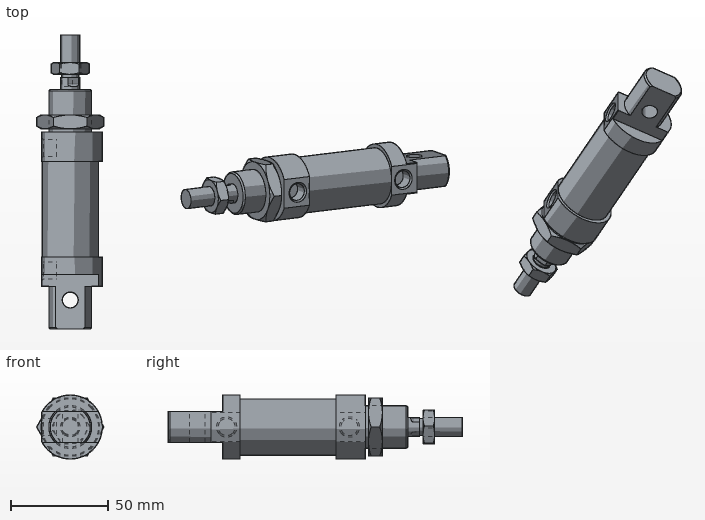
import cadquery as cq
import math

LENGTH = 151.0

TAIL_END = 21.9
REAR_SHOULDER = 28.0
REAR_CAP_END = 37.0
FRONT_CAP_START = 86.0
FRONT_CAP_END = 101.2
NECK_END = 123.0

CAP_DIAMETER = 32.9
TUBE_DIAMETER = 29.0
NECK_DIAMETER = 22.0
NECK_TIP_DIAMETER = 20.5
NECK_CHAMFER_LENGTH = 0.9
TAIL_THICKNESS = 16.0
PORT_FACE_X = -14.6

PIVOT_Y = 15.0
PIVOT_DIAMETER = 8.0
PORT_POSITIONS = (30.0, 93.0)
PORT_DIAMETER = 8.8
PORT_MOUTH_DIAMETER = 10.4
PORT_DEPTH = 7.5

ROD_DIAMETER = 10.0
UNDERCUT_DIAMETER = 8.8
UNDERCUT_START = 129.1
WRENCH_ACROSS_FLATS = 8.0
WRENCH_FLAT_LENGTH = 3.3
WRENCH_RUNOUT_RADIUS = 1.4
WRENCH_ANGLE = 68.0

NECK_NUT_START = 102.8
NECK_NUT_THICKNESS = 7.1
NECK_NUT_ACROSS_CORNERS = 34.6
ROD_NUT_START = 130.8
ROD_NUT_THICKNESS = 6.0
ROD_NUT_ACROSS_CORNERS = 19.6
ROD_NUT_TURN = 3.5
NUT_CHAMFER_ANGLE = 30.0
HEXAGON_HALF_ANGLE = 30.0


def section_at(y):
    """Workplane facing +Y at the given station; its local axes are -X and Z."""
    return cq.Workplane("XZ", origin=(0, y, 0)).transformed(rotate=(0, 180, 0))


def cylinder(diameter, start, end):
    return section_at(start).circle(diameter / 2).extrude(end - start)


def revolve_profile(points):
    """Revolve a closed (radius, y) outline about the Y axis."""
    return cq.Workplane("XY").polyline(points).close().revolve(360, (0, 0), (0, 1))


def make_blank():
    """Turned shape of the housing: tail, rear cap, tube, front cap and neck."""
    neck = NECK_DIAMETER / 2
    tip = NECK_TIP_DIAMETER / 2
    cap = CAP_DIAMETER / 2
    tube = TUBE_DIAMETER / 2
    return revolve_profile([
        (0, 0),
        (tip, 0),
        (neck, NECK_CHAMFER_LENGTH),
        (neck, TAIL_END),
        (cap, TAIL_END),
        (cap, REAR_CAP_END),
        (tube, REAR_CAP_END),
        (tube, FRONT_CAP_START),
        (cap, FRONT_CAP_START),
        (cap, FRONT_CAP_END),
        (neck, FRONT_CAP_END),
        (neck, NECK_END - NECK_CHAMFER_LENGTH),
        (tip, NECK_END),
        (0, NECK_END),
    ])


def make_tail_cut(side):
    """Stock removed above (side = 1) or below (side = -1) the flat tail."""
    center_z = side * (TAIL_THICKNESS + CAP_DIAMETER) / 2
    return cq.Workplane("XY").box(
        2 * CAP_DIAMETER, REAR_SHOULDER, CAP_DIAMETER, centered=(True, False, True)
    ).translate((0, 0, center_z))


def make_port_face_cut():
    """Stock removed from the -X side so both caps have a flat around the port."""
    return cq.Workplane("XY").box(
        CAP_DIAMETER, LENGTH, CAP_DIAMETER, centered=(True, False, True)
    ).translate((PORT_FACE_X - CAP_DIAMETER / 2, 0, 0))


def make_port(y):
    """Blind port bored toward +X, with a 45 degree countersunk mouth."""
    bore = PORT_DIAMETER / 2
    mouth = PORT_MOUTH_DIAMETER / 2
    countersink = mouth - bore
    outline = [
        (PORT_FACE_X, 0),
        (PORT_FACE_X, mouth),
        (PORT_FACE_X + countersink, bore),
        (PORT_FACE_X + PORT_DEPTH, bore),
        (PORT_FACE_X + PORT_DEPTH, 0),
    ]
    port = cq.Workplane("XY").polyline(outline).close().revolve(360, (0, 0), (1, 0))
    return port.translate((0, y, 0))


def make_housing():
    housing = make_blank().cut(make_port_face_cut())
    for side in (1, -1):
        housing = housing.cut(make_tail_cut(side))
    pivot = cq.Workplane("XY").center(0, PIVOT_Y).circle(PIVOT_DIAMETER / 2)
    housing = housing.cut(pivot.extrude(TAIL_THICKNESS / 2, both=True))
    for y in PORT_POSITIONS:
        housing = housing.cut(make_port(y))
    return housing


def make_wrench_cut(angle):
    """Flat on the rod with a rounded run-out, its normal at the given angle."""
    flat = WRENCH_ACROSS_FLATS / 2
    flat_start = UNDERCUT_START - WRENCH_FLAT_LENGTH
    outer = flat + WRENCH_RUNOUT_RADIUS
    cut = (
        cq.Workplane("XY")
        .moveTo(flat, UNDERCUT_START)
        .lineTo(flat, flat_start)
        .radiusArc((outer, flat_start - WRENCH_RUNOUT_RADIUS), -WRENCH_RUNOUT_RADIUS)
        .lineTo(outer, UNDERCUT_START)
        .close()
        .extrude(ROD_DIAMETER, both=True)
    )
    return cut.rotate((0, 0, 0), (0, 1, 0), -angle)


def make_rod():
    """Piston rod seated on the neck's end face."""
    rod = cylinder(ROD_DIAMETER, NECK_END, UNDERCUT_START)
    for angle in (WRENCH_ANGLE, WRENCH_ANGLE + 180):
        rod = rod.cut(make_wrench_cut(angle))
    undercut = cylinder(UNDERCUT_DIAMETER, UNDERCUT_START, ROD_NUT_START)
    thread = cylinder(ROD_DIAMETER, ROD_NUT_START, LENGTH)
    return rod.union(undercut).union(thread)


def make_nut(across_corners, bore_diameter, start, thickness, turn=0):
    """Hexagon nut with both faces chamfered down to the across-flats circle."""
    corner = across_corners / 2
    face = corner * math.cos(math.radians(HEXAGON_HALF_ANGLE))
    end = start + thickness
    chamfer = (corner - face) * math.tan(math.radians(NUT_CHAMFER_ANGLE))
    hexagon = section_at(start).polygon(6, across_corners).extrude(thickness)
    hexagon = hexagon.rotate((0, 0, 0), (0, 1, 0), -turn)
    envelope = revolve_profile([
        (0, start),
        (face, start),
        (corner, start + chamfer),
        (corner, end - chamfer),
        (face, end),
        (0, end),
    ])
    return hexagon.intersect(envelope).cut(cylinder(bore_diameter, start, end))


housing = make_housing()
rod = make_rod()
neck_nut = make_nut(
    NECK_NUT_ACROSS_CORNERS, NECK_DIAMETER, NECK_NUT_START, NECK_NUT_THICKNESS
)
rod_nut = make_nut(
    ROD_NUT_ACROSS_CORNERS, ROD_DIAMETER, ROD_NUT_START, ROD_NUT_THICKNESS, ROD_NUT_TURN
)

result = cq.Compound.makeCompound([
    housing.solids().val(),
    rod.solids().val(),
    neck_nut.solids().val(),
    rod_nut.solids().val(),
])